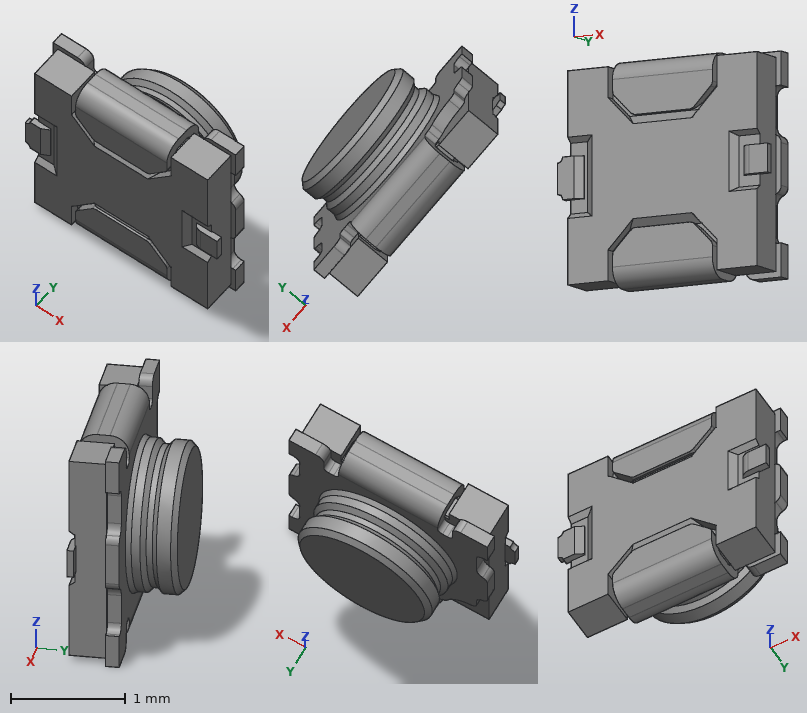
import cadquery as cq
import math


HALF_LENGTH = 1.05
HALF_SHELL = 1.0
HEIGHT = 0.9

BODY_HALF = 0.947
BODY_BACK = 0.332
ARM_SLOT_HALF = 0.544
ARM_SLOT_END = 0.838
SLOT_EDGE = 0.05
SLOT_REAR_EDGE = 0.015
RECESS_FLOOR = 0.085
RECESS_INNER = 0.42
RECESS_INNER_HALF = 0.292
RECESS_SIDE_END = 0.675

POCKET_FLOOR = 0.052
POCKET_BEVEL = 0.071
LEFT_POCKET_INNER = 0.705
LEFT_POCKET_MOUTH_HALF = 0.36
LEFT_POCKET_FLOOR_HALF = 0.313
RIGHT_POCKET_INNER = 0.665
RIGHT_POCKET_MOUTH_HALF = 0.267
RIGHT_POCKET_FLOOR_HALF = 0.227
TERMINAL_THICKNESS = 0.06
LEFT_TERMINAL_HALF = 0.19
LEFT_BEND = 0.885
LEFT_INNER = 0.806
LEFT_BEND_DEPTH = 0.04
TIP_NOTCH = 0.05
RIGHT_TERMINAL_HALF = 0.128
RIGHT_INNER = 0.775
RIGHT_BEND_RADIUS = 0.092

PLATE_BACK = 0.454
PLATE_SIDE = 0.892
PLATE_END = 0.75
BUMP_HALF = 0.19
BUMP_FOOT = 0.35
BUMP_SHOULDER_SHARE = 0.43
TAB_START = 0.697
TAB_FILLET = 0.075
TAB_INNER = 0.647
TAB_ROUND = 0.085
ARM_FILLET = 0.048
TRIM_START = 0.428
TRIM_SHOULDER = (0.827, 0.505)
TRIM_HOLLOW = (0.596, 0.682)
TRIM_FOOT = (0.544, 0.733)

ARM_HALF = 0.5
ARM_THICKNESS = PLATE_BACK - BODY_BACK
ARM_BEND = 0.17
TONGUE_TIP = 0.5
TONGUE_TIP_THICKNESS = 0.025
TONGUE_TIP_HALF = 0.298
TONGUE_ROUND = 0.063

RING_RADIUS = 0.676
GROOVE_RADIUS = 0.63
RIM_RADIUS = 0.628
FLARE_RADIUS = 0.697
FLARE_TOP = 0.502
LOWER_BAND_TOP = 0.58
GROOVE_BOTTOM = 0.625
GROOVE_TOP = 0.68
UPPER_BAND_BOTTOM = 0.725
UPPER_BAND_TOP = 0.85

DIAGONAL = math.sqrt(0.5)


def plane_at(y):
    """Sketch plane with local axes X and Z, at the given Y."""
    return cq.Workplane("XZ", origin=(0, y, 0))


def prism(points, y_start, y_end):
    """Straight-sided solid from an (X, Z) outline."""
    return plane_at(y_start).polyline(points).close().extrude(y_start - y_end)


def along_x(profile, half_width):
    """Solid from a closed (Y, Z) profile, symmetric about X = 0."""
    return profile.extrude(half_width, both=True)


def both_ends(solid):
    """The +Z feature together with its mirror at -Z."""
    return solid.union(solid.mirror("XY"))


def quarter_arc(sketch, centre, start, end, radius):
    """Quarter circle given its centre and the unit directions to its two ends."""
    cx, cz = centre
    mid = (cx + radius * DIAGONAL * (start[0] + end[0]), cz + radius * DIAGONAL * (start[1] + end[1]))
    return sketch.threePointArc(mid, (cx + radius * end[0], cz + radius * end[1]))


def arm_recess():
    """Opening at the +Z edge of the body, with a sloped inner end and a bevelled floor edge."""
    outline = [
        (-ARM_SLOT_HALF, BODY_HALF),
        (-ARM_SLOT_HALF, RECESS_SIDE_END),
        (-RECESS_INNER_HALF, RECESS_INNER),
        (RECESS_INNER_HALF, RECESS_INNER),
        (ARM_SLOT_HALF, RECESS_SIDE_END),
        (ARM_SLOT_HALF, BODY_HALF),
    ]
    section = (
        cq.Workplane("YZ")
        .moveTo(0, RECESS_INNER)
        .lineTo(RECESS_FLOOR, RECESS_INNER + RECESS_FLOOR)
        .lineTo(RECESS_FLOOR, ARM_SLOT_END - SLOT_EDGE)
        .lineTo(RECESS_FLOOR + SLOT_EDGE, ARM_SLOT_END)
        .lineTo(BODY_BACK - SLOT_REAR_EDGE, ARM_SLOT_END)
        .lineTo(BODY_BACK, ARM_SLOT_END - SLOT_REAR_EDGE)
        .lineTo(BODY_BACK, BODY_HALF)
        .lineTo(0, BODY_HALF)
        .close()
    )
    return prism(outline, 0, BODY_BACK).intersect(along_x(section, ARM_SLOT_HALF))


def terminal_pocket(side, inner, mouth_half, floor_half):
    """Pocket open at the body side, with sloped walls; side is -1 or +1 along X."""
    outer = BODY_HALF + POCKET_BEVEL

    def outline(sketch, inner_x, half):
        return sketch.polyline(
            [(side * inner_x, -half), (side * outer, -half), (side * outer, half), (side * inner_x, half)]
        ).close()

    mouth = outline(plane_at(0), inner, mouth_half)
    floor = outline(mouth.workplane(offset=-POCKET_FLOOR), inner + POCKET_BEVEL, floor_half)
    return floor.loft(ruled=True)


def insulating_body():
    """Square block with two arm recesses and two terminal pockets."""
    left_pocket = terminal_pocket(
        -1, LEFT_POCKET_INNER, LEFT_POCKET_MOUTH_HALF, LEFT_POCKET_FLOOR_HALF
    )
    right_pocket = terminal_pocket(
        1, RIGHT_POCKET_INNER, RIGHT_POCKET_MOUTH_HALF, RIGHT_POCKET_FLOOR_HALF
    )
    body = plane_at(0).rect(2 * BODY_HALF, 2 * BODY_HALF).extrude(-BODY_BACK)
    return (
        body.cut(both_ends(arm_recess()))
        .cut(left_pocket)
        .cut(right_pocket)
    )


def left_terminal():
    """Wide terminal, sloped into its pocket, with scooped tip corners."""
    profile = (
        cq.Workplane("XY")
        .moveTo(-HALF_LENGTH, 0)
        .lineTo(-LEFT_BEND, 0)
        .lineTo(-LEFT_INNER, LEFT_BEND_DEPTH)
        .lineTo(-LEFT_INNER, TERMINAL_THICKNESS)
        .lineTo(-HALF_LENGTH, TERMINAL_THICKNESS)
        .close()
    )
    notch_z = LEFT_TERMINAL_HALF
    notches = plane_at(0).pushPoints([(-HALF_LENGTH, -notch_z), (-HALF_LENGTH, notch_z)])
    return profile.extrude(LEFT_TERMINAL_HALF, both=True).cut(
        notches.circle(TIP_NOTCH).extrude(-TERMINAL_THICKNESS)
    )


def right_terminal():
    """Narrow terminal, curved into its pocket."""
    bend_x = RIGHT_INNER + RIGHT_BEND_RADIUS
    profile = cq.Workplane("XY").moveTo(HALF_LENGTH, 0).lineTo(bend_x, 0)
    profile = quarter_arc(profile, (bend_x, RIGHT_BEND_RADIUS), (0, -1), (-1, 0), RIGHT_BEND_RADIUS)
    profile = (
        profile.lineTo(bend_x, RIGHT_BEND_RADIUS)
        .lineTo(bend_x, TERMINAL_THICKNESS)
        .lineTo(HALF_LENGTH, TERMINAL_THICKNESS)
        .close()
    )
    return profile.extrude(RIGHT_TERMINAL_HALF, both=True)


def start_quarter():
    """Plate outline from the centre, round the +X bump and its S-shaped flank to the side edge."""
    rise = BUMP_FOOT - BUMP_HALF
    depth = HALF_SHELL - PLATE_SIDE
    inflection = (
        HALF_SHELL - BUMP_SHOULDER_SHARE * depth,
        BUMP_HALF + BUMP_SHOULDER_SHARE * rise,
    )
    return (
        plane_at(BODY_BACK)
        .lineTo(HALF_SHELL, 0)
        .lineTo(HALF_SHELL, BUMP_HALF)
        .tangentArcPoint(inflection, relative=False)
        .tangentArcPoint((PLATE_SIDE, BUMP_FOOT), relative=False)
    )


def tabbed_quarter():
    """Quarter of the plate in +X +Z, with a corner tab."""
    outline = start_quarter().lineTo(PLATE_SIDE, TAB_START - TAB_FILLET)
    outline = quarter_arc(
        outline, (PLATE_SIDE + TAB_FILLET, TAB_START - TAB_FILLET), (-1, 0), (0, 1), TAB_FILLET
    )
    outline = (
        outline.lineTo(HALF_SHELL, TAB_START)
        .lineTo(HALF_SHELL, HALF_SHELL)
        .lineTo(TAB_INNER + TAB_ROUND, HALF_SHELL)
    )
    outline = quarter_arc(
        outline, (TAB_INNER + TAB_ROUND, HALF_SHELL - TAB_ROUND), (0, 1), (-1, 0), TAB_ROUND
    )
    outline = outline.lineTo(TAB_INNER, PLATE_END + ARM_FILLET)
    outline = quarter_arc(
        outline, (TAB_INNER - ARM_FILLET, PLATE_END + ARM_FILLET), (1, 0), (0, -1), ARM_FILLET
    )
    fillet_x = ARM_HALF + ARM_FILLET
    outline = outline.lineTo(fillet_x, PLATE_END)
    outline = quarter_arc(outline, (fillet_x, PLATE_END + ARM_FILLET), (0, -1), (-1, 0), ARM_FILLET)
    return outline.lineTo(0, PLATE_END + ARM_FILLET).close().extrude(BODY_BACK - PLATE_BACK)


def trimmed_quarter():
    """Quarter of the plate in +X +Z whose corner is rounded away instead of carrying a tab."""
    arm_joint = (ARM_HALF, PLATE_END + ARM_FILLET)
    return (
        start_quarter()
        .lineTo(PLATE_SIDE, TRIM_START)
        .tangentArcPoint(TRIM_SHOULDER, relative=False)
        .tangentArcPoint(TRIM_HOLLOW, relative=False)
        .tangentArcPoint(TRIM_FOOT, relative=False)
        .tangentArcPoint(arm_joint, relative=False)
        .lineTo(0, PLATE_END + ARM_FILLET)
        .close()
        .extrude(BODY_BACK - PLATE_BACK)
    )


def shell_plate():
    """Plate behind the body with three corner tabs and one trimmed corner at -X -Z."""
    right_half = both_ends(tabbed_quarter())
    upper_left = tabbed_quarter().mirror("YZ")
    lower_left = trimmed_quarter().mirror("YZ").mirror("XY")
    return right_half.union(upper_left).union(lower_left)


def folded_arm():
    """Strip that leaves the plate, folds over the +Z edge of the body and ends in a tongue."""
    bend_z = HALF_SHELL - ARM_BEND
    inner_bend = ARM_BEND - ARM_THICKNESS
    rear_bend_y = PLATE_BACK - ARM_BEND
    section = cq.Workplane("YZ").moveTo(0, TONGUE_TIP).lineTo(0, bend_z)
    section = quarter_arc(section, (ARM_BEND, bend_z), (-1, 0), (0, 1), ARM_BEND)
    section = section.lineTo(rear_bend_y, HALF_SHELL)
    section = quarter_arc(section, (rear_bend_y, bend_z), (0, 1), (1, 0), ARM_BEND)
    section = section.lineTo(PLATE_BACK, PLATE_END).lineTo(PLATE_BACK - ARM_THICKNESS, PLATE_END)
    section = section.lineTo(PLATE_BACK - ARM_THICKNESS, bend_z)
    section = quarter_arc(section, (rear_bend_y, bend_z), (1, 0), (0, 1), inner_bend)
    section = section.lineTo(ARM_BEND, HALF_SHELL - ARM_THICKNESS)
    section = quarter_arc(section, (ARM_BEND, bend_z), (0, 1), (-1, 0), inner_bend)
    section = (
        section.lineTo(ARM_THICKNESS, TONGUE_TIP + ARM_THICKNESS - TONGUE_TIP_THICKNESS)
        .lineTo(TONGUE_TIP_THICKNESS, TONGUE_TIP)
        .close()
    )

    taper_end = TONGUE_TIP + ARM_HALF - TONGUE_TIP_HALF
    outline = [
        (-ARM_HALF, HALF_SHELL),
        (-ARM_HALF, taper_end),
        (-TONGUE_TIP_HALF, TONGUE_TIP),
        (TONGUE_TIP_HALF, TONGUE_TIP),
        (ARM_HALF, taper_end),
        (ARM_HALF, HALF_SHELL),
    ]
    tongue_zone = cq.selectors.BoxSelector((-HALF_SHELL, 0, 0), (HALF_SHELL, HEIGHT, ARM_SLOT_END))
    blank = prism(outline, 0, PLATE_BACK).edges("|Y").edges(tongue_zone).fillet(TONGUE_ROUND)
    return along_x(section, ARM_HALF).intersect(blank)


def mating_ring():
    """Solid of revolution about Y with a snap groove round its middle."""
    return (
        cq.Workplane("XY")
        .moveTo(0, BODY_BACK)
        .lineTo(FLARE_RADIUS, BODY_BACK)
        .lineTo(FLARE_RADIUS, PLATE_BACK)
        .lineTo(RING_RADIUS, FLARE_TOP)
        .lineTo(RING_RADIUS, LOWER_BAND_TOP)
        .lineTo(GROOVE_RADIUS, GROOVE_BOTTOM)
        .lineTo(GROOVE_RADIUS, GROOVE_TOP)
        .lineTo(RING_RADIUS, UPPER_BAND_BOTTOM)
        .lineTo(RING_RADIUS, UPPER_BAND_TOP)
        .lineTo(RIM_RADIUS, HEIGHT)
        .lineTo(0, HEIGHT)
        .close()
        .revolve(360, (0, 0, 0), (0, 1, 0))
    )


result = (
    insulating_body()
    .union(left_terminal())
    .union(right_terminal())
    .union(shell_plate())
    .union(both_ends(folded_arm()))
    .union(mating_ring())
)